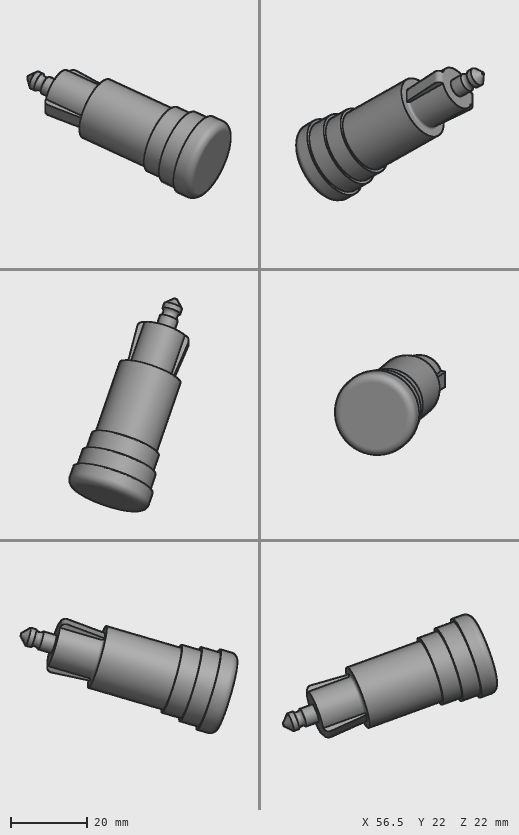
import cadquery as cq
import math

TOTAL_LENGTH = 56.5
TIP_X = -TOTAL_LENGTH / 2
END_X = TOTAL_LENGTH / 2
CONE_END_X = TIP_X + 2.0
GROOVE_START_X = TIP_X + 3.45
GROOVE_END_X = TIP_X + 5.5
BARREL_START_X = TIP_X + 9.0
BODY_START_X = TIP_X + 20.95
FIRST_COLLAR_X = TIP_X + 41.35
SECOND_COLLAR_X = TIP_X + 46.5
CAP_START_X = TIP_X + 51.45

TIP_RADIUS = 0.45
PIN_RADIUS = 2.5
GROOVE_DEPTH = 0.5
BARREL_RADIUS = 5.95
BARREL_FILLET = 0.6
CAP_RADIUS = 10.99
COLLAR_STEP = 0.85
SECOND_COLLAR_RADIUS = CAP_RADIUS - COLLAR_STEP
FIRST_COLLAR_RADIUS = SECOND_COLLAR_RADIUS - COLLAR_STEP
BODY_RADIUS = FIRST_COLLAR_RADIUS - COLLAR_STEP
CAP_ROUND = 2.05

RIB_THICKNESS = 3.95
RIB_NOSE_RADIUS = 1.45
RIB_REAR_REACH = 6.25


def turned_body():
    """Pin, barrel, body, collars and rounded cap as one revolved profile."""
    diagonal = math.sqrt(0.5)
    groove_middle_x = (GROOVE_START_X + GROOVE_END_X) / 2
    fillet_middle = (
        BODY_START_X - BARREL_FILLET * (1 - diagonal),
        BARREL_RADIUS + BARREL_FILLET * (1 - diagonal),
    )
    cap_round_middle = (
        END_X - CAP_ROUND * (1 - diagonal),
        CAP_RADIUS - CAP_ROUND * (1 - diagonal),
    )
    profile = (
        cq.Workplane("XY")
        .moveTo(TIP_X, 0)
        .lineTo(TIP_X, TIP_RADIUS)
        .lineTo(CONE_END_X, PIN_RADIUS)
        .lineTo(GROOVE_START_X, PIN_RADIUS)
        .threePointArc((groove_middle_x, PIN_RADIUS - GROOVE_DEPTH), (GROOVE_END_X, PIN_RADIUS))
        .lineTo(BARREL_START_X, PIN_RADIUS)
        .lineTo(BARREL_START_X, BARREL_RADIUS)
        .lineTo(BODY_START_X - BARREL_FILLET, BARREL_RADIUS)
        .threePointArc(fillet_middle, (BODY_START_X, BARREL_RADIUS + BARREL_FILLET))
        .lineTo(BODY_START_X, BODY_RADIUS)
        .lineTo(FIRST_COLLAR_X, BODY_RADIUS)
        .lineTo(FIRST_COLLAR_X, FIRST_COLLAR_RADIUS)
        .lineTo(SECOND_COLLAR_X, FIRST_COLLAR_RADIUS)
        .lineTo(SECOND_COLLAR_X, SECOND_COLLAR_RADIUS)
        .lineTo(CAP_START_X, SECOND_COLLAR_RADIUS)
        .lineTo(CAP_START_X, CAP_RADIUS)
        .lineTo(END_X - CAP_ROUND, CAP_RADIUS)
        .threePointArc(cap_round_middle, (END_X, CAP_RADIUS - CAP_ROUND))
        .lineTo(END_X, 0)
        .close()
    )
    return profile.revolve(360, (0, 0, 0), (1, 0, 0))


def side_ribs():
    """Flat bar through the barrel, with rounded noses and sides tapering in toward the body."""
    nose_start_y = math.sqrt(BARREL_RADIUS**2 - (RIB_THICKNESS / 2) ** 2)
    nose_center_x = BARREL_START_X + RIB_NOSE_RADIUS

    rear_dx = BODY_START_X - nose_center_x
    rear_dy = RIB_REAR_REACH - nose_start_y
    tangent_angle = math.atan2(rear_dy, rear_dx) + math.acos(RIB_NOSE_RADIUS / math.hypot(rear_dx, rear_dy))

    def nose_point(angle):
        return (
            nose_center_x + RIB_NOSE_RADIUS * math.cos(angle),
            nose_start_y + RIB_NOSE_RADIUS * math.sin(angle),
        )

    half = (
        cq.Workplane("XY")
        .moveTo(BARREL_START_X, 0)
        .lineTo(BARREL_START_X, nose_start_y)
        .threePointArc(nose_point((math.pi + tangent_angle) / 2), nose_point(tangent_angle))
        .lineTo(BODY_START_X, RIB_REAR_REACH)
        .lineTo(BODY_START_X, 0)
        .close()
        .extrude(RIB_THICKNESS / 2, both=True)
    )
    return half.union(half.mirror("XZ"))


def rib_slot():
    """Slot through the barrel and its fillet, so the ribs' own outline shows over their full height."""
    length = BODY_START_X - BARREL_START_X
    width = 2 * BODY_RADIUS
    slot = cq.Workplane("XY").box(length, width, RIB_THICKNESS)
    return slot.translate(((BARREL_START_X + BODY_START_X) / 2, 0, 0))


result = turned_body().cut(rib_slot()).union(side_ribs())